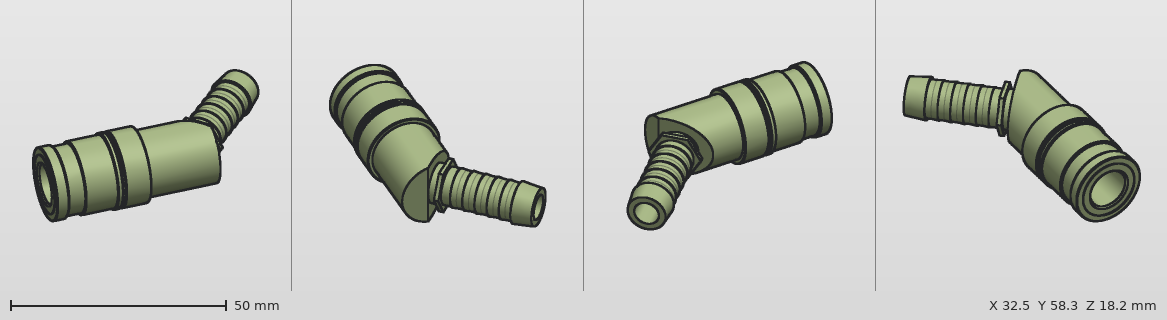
import cadquery as cq
import math

collar_radius = 18.2 / 2
body_radius = 17.5 / 2
neck_radius = 8.25
tube_radius = 8.0
mouth_lip_radius = 7.05
mouth_lip_height = 0.2
edge_chamfer = 0.2
flange_chamfer = 0.35

flange_top = 3.25
neck_top = 7.15
ring_bottom = 14.95
ring_top = 16.1
collar_bottom = 16.95
collar_top = 23.2
tube_end = 40.4

mouth_bore_radius = 5.25
mouth_chamfer = 0.45
socket_radius = mouth_bore_radius - mouth_chamfer
socket_depth = 23.3
passage_radius = 3.5
passage_depth = 37.4

bend_y = 34.9
tip_x = -20.1
tip_y = bend_y - tip_x
tail_length = 25.5
tip_radius = 4.6
barb_radius = 5.1
barb_length = 5.0
shank_radius = 4.6
ridge_radius = 4.8
ridge_count = 5
ridge_length = 1.5
ridge_pitch = 2 * ridge_length
spigot_radius = 4.85
hose_bore_radius = 6.0 / 2

hex_across_flats = 11.0
hex_start = 22.4
hex_thickness = 1.1

root_direction = cq.Vector(1, -1, 0).normalized()
tail_plane = cq.Plane(origin=(tip_x, tip_y, 0), xDir=(1, 1, 0), normal=root_direction.toTuple())


def revolve_body(points):
    """Revolve a closed (radius, y) outline about the body axis."""
    return cq.Workplane("XY").polyline(points).close().revolve(360, (0, 0, 0), (0, 1, 0))


def make_body():
    """Stepped sleeve and tube, with its far end mitred square to the hose axis."""
    body = revolve_body([
        (0, 0),
        (mouth_lip_radius, 0),
        (mouth_lip_radius, mouth_lip_height),
        (body_radius - edge_chamfer, mouth_lip_height),
        (body_radius, mouth_lip_height + edge_chamfer),
        (body_radius, flange_top - flange_chamfer),
        (body_radius - flange_chamfer, flange_top),
        (neck_radius, flange_top),
        (neck_radius, neck_top),
        (body_radius - edge_chamfer, neck_top),
        (body_radius, neck_top + edge_chamfer),
        (body_radius, ring_bottom),
        (collar_radius - edge_chamfer, ring_bottom),
        (collar_radius, ring_bottom + edge_chamfer),
        (collar_radius, ring_top),
        (body_radius, ring_top + collar_radius - body_radius),
        (body_radius, collar_bottom),
        (collar_radius - edge_chamfer, collar_bottom),
        (collar_radius, collar_bottom + edge_chamfer),
        (collar_radius, collar_top - edge_chamfer),
        (collar_radius - edge_chamfer, collar_top),
        (tube_radius, collar_top),
        (tube_radius, tube_end),
        (0, tube_end),
    ])
    cutter_size = 4 * tube_radius
    mitre = cq.Workplane(tail_plane).rect(cutter_size, cutter_size).extrude(tail_length)
    return body.cut(mitre)


def make_tail():
    """Barbed hose tail with its hexagonal flange and the spigot that enters the body."""
    outline = [(0, 0), (tip_radius, 0), (barb_radius, barb_length), (shank_radius, barb_length)]
    for index in range(ridge_count):
        ridge_start = barb_length + ridge_length + index * ridge_pitch
        ridge_end = ridge_start + ridge_length
        outline += [(shank_radius, ridge_start), (ridge_radius, ridge_end), (shank_radius, ridge_end)]
    outline += [
        (shank_radius, hex_start),
        (spigot_radius, hex_start),
        (spigot_radius, tail_length),
        (0, tail_length),
    ]
    profile_plane = cq.Plane(
        origin=tail_plane.origin.toTuple(),
        xDir=tail_plane.xDir.toTuple(),
        normal=(0, 0, -1),
    )
    tail = cq.Workplane(profile_plane).polyline(outline).close().revolve(360, (0, 0, 0), (0, 1, 0))
    hex_across_corners = hex_across_flats / math.cos(math.radians(30))
    hexagon = (
        cq.Workplane(tail_plane)
        .workplane(offset=hex_start)
        .polygon(6, hex_across_corners)
        .extrude(hex_thickness)
    )
    return tail.union(hexagon)


def make_body_bore():
    """Chamfered mouth and socket, then a narrower passage with a flat end."""
    return revolve_body([
        (0, 0),
        (mouth_bore_radius, 0),
        (socket_radius, mouth_chamfer),
        (socket_radius, socket_depth),
        (passage_radius, socket_depth),
        (passage_radius, passage_depth),
        (0, passage_depth),
    ])


def make_hose_bore():
    """Straight bore from the hose tip to the point where the two axes meet."""
    length = -tip_x * math.sqrt(2)
    return cq.Workplane(tail_plane).circle(hose_bore_radius).extrude(length)


result = make_body().union(make_tail()).cut(make_body_bore()).cut(make_hose_bore())